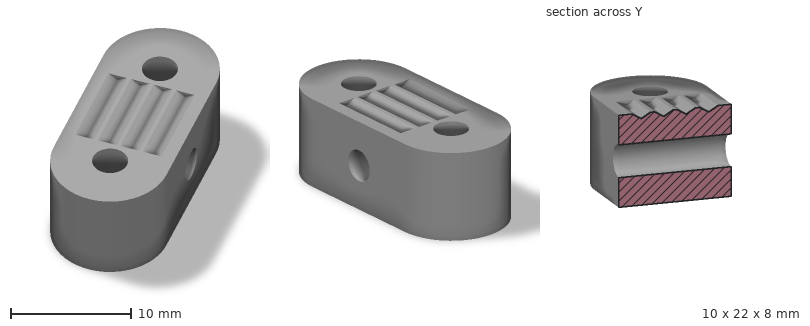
import math

import cadquery as cq

body_width = 10.0
body_length = 22.0
body_height = 8.0

end_hole_diameter = 3.0
end_hole_spacing = body_length - body_width

cross_hole_diameter = 2.8

groove_count = 4
groove_pitch = 2.0
groove_width = 1.65
groove_wall_slope = 30.0
groove_depth = groove_width / 2 * math.tan(math.radians(groove_wall_slope))
groove_length = 8.0


def make_body():
    """Block with rounded ends, standing on the XY plane."""
    return (
        cq.Workplane("XY")
        .slot2D(body_length, body_width, angle=90)
        .extrude(body_height)
    )


def make_end_holes():
    """Pair of cylinders through the full height of the block."""
    return (
        cq.Workplane("XY")
        .rarray(1, end_hole_spacing, 1, 2)
        .circle(end_hole_diameter / 2)
        .extrude(body_height)
    )


def make_cross_hole():
    """Cylinder through the full width of the block."""
    return (
        cq.Workplane("YZ")
        .center(0, body_height / 2)
        .circle(cross_hole_diameter / 2)
        .extrude(body_width / 2, both=True)
    )


def make_groove(x_center):
    """Triangular prism pointing down from the top face, closed at both ends."""
    return (
        cq.Workplane("XZ")
        .moveTo(x_center - groove_width / 2, body_height)
        .lineTo(x_center, body_height - groove_depth)
        .lineTo(x_center + groove_width / 2, body_height)
        .close()
        .extrude(groove_length / 2, both=True)
    )


result = make_body().cut(make_end_holes()).cut(make_cross_hole())
for index in range(groove_count):
    groove_x = (index - (groove_count - 1) / 2) * groove_pitch
    result = result.cut(make_groove(groove_x))